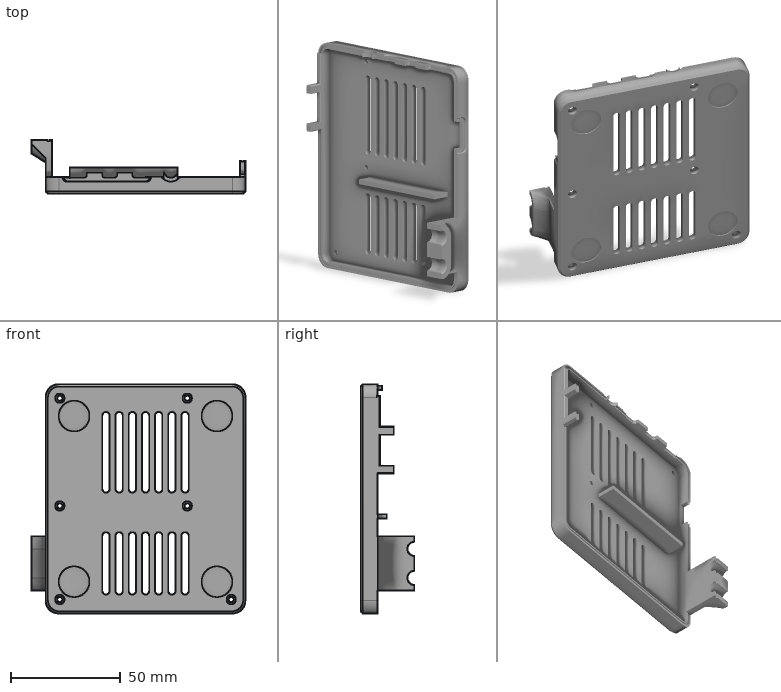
import cadquery as cq
import math

total_width = 97.4
total_depth = 24.5

tray_width = 91.0
tray_height = 104.4
rim_y = 7.75
wall = 2.7
floor = 3.0
corner_radius = 6.0
edge_chamfer = 1.1

groove_inset = 1.0
groove_width = 1.0
groove_depth = 0.5
groove_floor_y = rim_y - groove_depth

slot_width = 3.2
slot_pitch = 6.0
slot_count = 7
first_slot_x = 27.5
slot_spans = [(8.7, 37.0), (55.1, 91.7)]

hole_diameter = 2.3
counterbore_diameter = 4.3
counterbore_depth = 2.0
board_hole_x = 6.5
board_hole_z = 98.0
board_pitch_x = 58.0
board_pitch_z = 49.0
case_hole_z = 6.4
foot_diameter = 14.0
foot_depth = 0.5
foot_inset_x = 13.0
foot_inset_z = 14.5

rib_x = (11.0, 60.1)
rib_z = (43.2, 45.3)
rib_y = 12.0

recess_depth = 0.7
recess_flare = 0.35
recess_radius = 2.6

left_recess_z = (65.2, 81.8)
left_recess_y = 2.2
left_opening_z = (67.4, 79.9)
left_opening_y = 4.25

top_recess_x = (7.6, 48.1)
top_recess_y = 5.4
top_opening_x = (10.3, 45.5)
top_opening_y = groove_floor_y
tab_y = 9.5
tab_width = 6.9
tab_foot = 0.9
tab_centers_x = (22.3, 36.0)

jack_x = 57.0
jack_y = 10.55
jack_radius = 3.2
jack_recess_radius = 5.0
jack_half_width = 3.1
jack_top_y = 10.4

lip_z = (67.3, 99.1)
lip_y = 8.9
lower_post_z = (63.7, 67.3)
upper_post_z = (81.3, 85.2)
frame_chamfer = 0.4
post_y = 15.1

clamp_z = (10.4, 35.3)
clamp_wall = 3.0
clamp_overhang = total_width - tray_width
clamp_flat_half = 6.6
clamp_root_y = (14.3, 16.2)
clamp_tip_y = (18.3, 22.7)
cable_radius = 3.15
cable_chamfer = 0.4
cable_pitch = 13.2


def box(x_span, y_span, z_span):
    """Box between two limits on each axis."""
    size = [span[1] - span[0] for span in (x_span, y_span, z_span)]
    return cq.Workplane().box(*size, centered=False).translate((x_span[0], y_span[0], z_span[0]))


def rounded_block(inset, y_span):
    """Block with the tray outline moved inward by inset."""
    block = box((inset, tray_width - inset), y_span, (inset, tray_height - inset))
    return block.edges("|Y").fillet(corner_radius - inset)


def rod(x, z, diameter, length):
    """Cylinder along +Y that starts on the outer face of the floor."""
    return cq.Workplane("XZ", origin=(x, 0, z)).circle(diameter / 2).extrude(-length)


def flared_recess(outer_face, y_span, side_span):
    """Recess cut inward from an outer wall face, narrowing by the flare toward its bottom."""
    low_y, high_y = y_span
    left, right = side_span
    return (
        outer_face.center((low_y + high_y) / 2, (left + right) / 2)
        .sketch()
        .rect(high_y - low_y, right - left)
        .vertices("<X")
        .fillet(recess_radius)
        .finalize()
        .extrude(recess_depth, taper=math.degrees(math.atan(recess_flare / recess_depth)))
    )


def make_tray():
    tray = rounded_block(0, (0, rim_y)).faces("<Y").edges().chamfer(edge_chamfer)
    tray = tray.cut(rounded_block(wall, (floor, rim_y)))
    groove_span = (groove_floor_y, rim_y)
    groove = rounded_block(groove_inset, groove_span)
    groove = groove.cut(rounded_block(groove_inset + groove_width, groove_span))
    rib = box(rib_x, (floor, rib_y), rib_z)
    return tray.cut(groove).union(rib)


def cut_vents(part):
    for bottom, top in slot_spans:
        for index in range(slot_count):
            x = first_slot_x + index * slot_pitch
            plane = cq.Workplane("XZ", origin=(x, 0, (bottom + top) / 2))
            part = part.cut(plane.slot2D(top - bottom, slot_width, 90).extrude(-floor))
    return part


def cut_screw_holes(part):
    board = [
        (board_hole_x + i * board_pitch_x, board_hole_z - j * board_pitch_z)
        for i in range(2)
        for j in range(2)
    ]
    case = [(board_hole_x, case_hole_z), (tray_width - board_hole_x, case_hole_z)]
    for x, z in board + case:
        part = part.cut(rod(x, z, hole_diameter, floor))
        part = part.cut(rod(x, z, counterbore_diameter, counterbore_depth))
    return part


def cut_feet(part):
    for x in (foot_inset_x, tray_width - foot_inset_x):
        for z in (foot_inset_z, tray_height - foot_inset_z):
            part = part.cut(rod(x, z, foot_diameter, foot_depth))
    return part


def add_left_port(part):
    above = rim_y + recess_radius
    recess = flared_recess(cq.Workplane("YZ"), (left_recess_y, above), left_recess_z)
    opening = box((0, wall), (left_opening_y, above), left_opening_z)
    return part.cut(recess).cut(opening)


def add_top_port(part):
    above = rim_y + recess_radius
    wall_z = (tray_height - wall, tray_height)
    top_face = cq.Workplane(cq.Plane((0, 0, tray_height), xDir=(0, 1, 0), normal=(0, 0, -1)))
    recess = flared_recess(top_face, (top_recess_y, above), top_recess_x)
    opening = box(top_opening_x, (top_opening_y, above), wall_z)
    part = part.cut(recess).cut(opening)
    half = tab_width / 2
    foot_y = top_opening_y + tab_foot
    root_y = top_recess_y + recess_radius / 2
    for x in tab_centers_x:
        tab = (
            cq.Workplane("XY", origin=(x, 0, tray_height - wall))
            .moveTo(-half - tab_foot, root_y)
            .lineTo(-half - tab_foot, top_opening_y)
            .lineTo(-half, foot_y)
            .lineTo(-half, tab_y)
            .lineTo(half, tab_y)
            .lineTo(half, foot_y)
            .lineTo(half + tab_foot, top_opening_y)
            .lineTo(half + tab_foot, root_y)
            .close()
            .extrude(wall - recess_depth)
        )
        part = part.union(tab)
    return part


def add_jack(part):
    inner_z = tray_height - wall
    outer_z = tray_height - recess_depth
    plane = cq.Workplane("XY", origin=(jack_x, jack_y, inner_z))
    x_span = (jack_x - jack_half_width, jack_x + jack_half_width)
    block = box(x_span, (groove_floor_y, jack_top_y), (inner_z, outer_z))
    recess = plane.workplane(offset=wall - recess_depth).circle(jack_recess_radius).extrude(recess_depth)
    bore = plane.circle(jack_radius).extrude(wall)
    return part.cut(recess).union(block).cut(bore)


def add_right_wall_details(part):
    x_span = (tray_width - wall, tray_width)
    groove_end = tray_width - groove_inset
    groove_x = (groove_end - groove_width, groove_end)
    lip = box(x_span, (groove_floor_y, lip_y), lip_z)
    part = part.union(lip.edges("|Z and >Y").chamfer(frame_chamfer))
    for span, outer_side in ((lower_post_z, "<Z"), (upper_post_z, ">Z")):
        post = box(x_span, (groove_floor_y, post_y), span)
        post = post.edges("|Y").edges(outer_side).chamfer(frame_chamfer)
        post = post.cut(box(groove_x, (post_y - groove_depth, post_y), span))
        part = part.union(post)
    return part


def clamp_section(x, y_span):
    """Wire across the clamp at x: flat bottom, bowed shoulders, straight sides and top."""
    low_y, side_y = y_span
    half = (clamp_z[1] - clamp_z[0]) / 2
    rise = side_y - low_y
    run = half - clamp_flat_half
    radius = (run**2 + rise**2) / (2 * rise)
    middle_run = run / 2
    middle_y = low_y + radius - math.sqrt(radius**2 - middle_run**2)
    middle = clamp_flat_half + middle_run
    return (
        cq.Workplane("YZ", origin=(x, 0, (clamp_z[0] + clamp_z[1]) / 2))
        .moveTo(low_y, -clamp_flat_half)
        .lineTo(low_y, clamp_flat_half)
        .threePointArc((middle_y, middle), (side_y, half))
        .lineTo(total_depth, half)
        .lineTo(total_depth, -half)
        .lineTo(side_y, -half)
        .threePointArc((middle_y, -middle), (low_y, -clamp_flat_half))
        .close()
        .val()
    )


def add_clamp(part):
    upright = box((0, clamp_wall), (groove_floor_y, total_depth), clamp_z)
    sections = [clamp_section(-clamp_overhang, clamp_tip_y), clamp_section(0, clamp_root_y)]
    clamp = upright.union(cq.Workplane(cq.Solid.makeLoft(sections, True)))
    groove_x = (groove_inset, groove_inset + groove_width)
    clamp = clamp.cut(box(groove_x, (total_depth - groove_depth, total_depth), clamp_z))
    middle_z = (clamp_z[0] + clamp_z[1]) / 2
    for side in (-1, 1):
        z = middle_z + side * cable_pitch / 2
        cable = cq.Workplane("YZ", origin=(-clamp_overhang, total_depth, z))
        clamp = clamp.cut(cable.circle(cable_radius).extrude(clamp_overhang + clamp_wall))
        mouth = cable.circle(cable_radius + cable_chamfer).extrude(cable_chamfer, taper=45)
        clamp = clamp.cut(mouth)
    return part.union(clamp)


result = make_tray()
result = cut_vents(result)
result = cut_screw_holes(result)
result = cut_feet(result)
result = add_left_port(result)
result = add_top_port(result)
result = add_jack(result)
result = add_right_wall_details(result)
result = add_clamp(result)